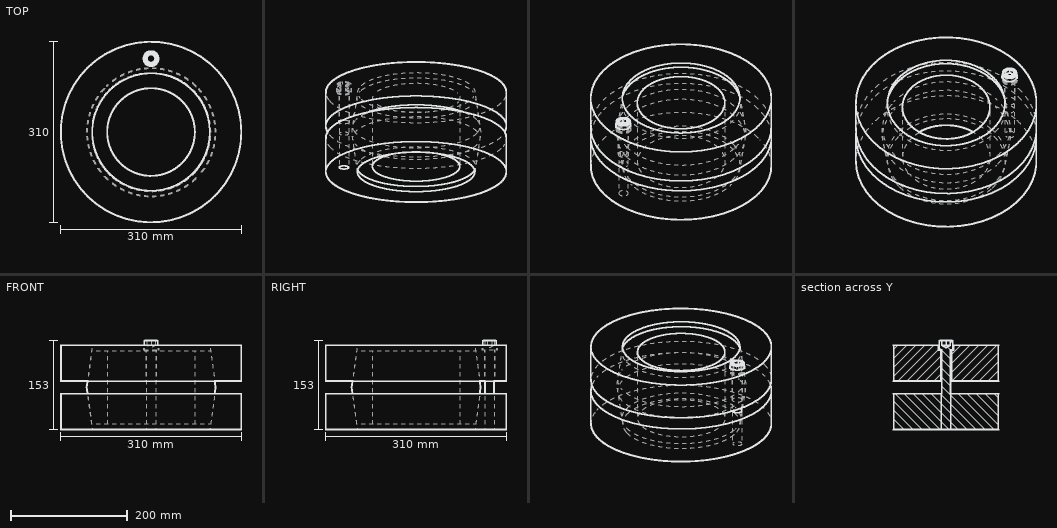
import cadquery as cq
import math


COLLAR_DIAMETER = 310.0
COLLAR_THICKNESS = 62.0
COLLAR_GAP = 21.0
COLLAR_MOUTH_DIAMETER = 201.5

RING_BORE_DIAMETER = 150.0
RING_MIDDLE_DIAMETER = 221.5
RING_RECESS = 10.0

SCREW_OFFSET_Y = 126.0
SHANK_DIAMETER = 16.0
HEAD_DIAMETER = 24.0
HEAD_HEIGHT = SHANK_DIAMETER
HEAD_PROTRUSION = 8.0
HEAD_CHAMFER_HEIGHT = 1.0
HEAD_CHAMFER_WIDTH = 2.0
SOCKET_FLAT_WIDTH = 14.0
SOCKET_DEPTH = 8.0
SOCKET_TIP_ANGLE = 120.0
CLEARANCE_DIAMETER = 18.0
COUNTERBORE_DIAMETER = 26.0

TOP = 2 * COLLAR_THICKNESS + COLLAR_GAP
MIDDLE = TOP / 2
UPPER_COLLAR_BASE = COLLAR_THICKNESS + COLLAR_GAP
HEAD_TOP = TOP + HEAD_PROTRUSION
HEAD_BASE = HEAD_TOP - HEAD_HEIGHT
MIDDLE_RADIUS = RING_MIDDLE_DIAMETER / 2
TAPER_SLOPE = (MIDDLE_RADIUS - COLLAR_MOUTH_DIAMETER / 2) / MIDDLE


def cylinder(diameter, base, top, y=0.0):
    """Vertical cylinder on the line x = 0 at the given y."""
    return cq.Workplane("XY", origin=(0, y, base)).circle(diameter / 2).extrude(top - base)


def double_cone(base, top):
    """Solid with both tapers, widest at the middle level."""
    base_radius = MIDDLE_RADIUS - TAPER_SLOPE * (MIDDLE - base)
    top_radius = MIDDLE_RADIUS - TAPER_SLOPE * (top - MIDDLE)
    profile = [(0, base), (base_radius, base), (MIDDLE_RADIUS, MIDDLE), (top_radius, top), (0, top)]
    return cq.Workplane("XZ").polyline(profile).close().revolve(360, (0, 0, 0), (0, 1, 0))


def make_collar(base):
    """Thrust collar with a tapered bore that fits the inner ring."""
    disc = cylinder(COLLAR_DIAMETER, base, base + COLLAR_THICKNESS)
    return disc.cut(double_cone(0, TOP))


def make_upper_collar():
    """Collar with a clearance hole and a counterbore for the screw head."""
    clearance = cylinder(CLEARANCE_DIAMETER, UPPER_COLLAR_BASE, TOP, SCREW_OFFSET_Y)
    counterbore = cylinder(COUNTERBORE_DIAMETER, HEAD_BASE, TOP, SCREW_OFFSET_Y)
    return make_collar(UPPER_COLLAR_BASE).cut(clearance).cut(counterbore)


def make_lower_collar():
    """Collar with a through hole that receives the screw shank."""
    return make_collar(0).cut(cylinder(SHANK_DIAMETER, 0, COLLAR_THICKNESS, SCREW_OFFSET_Y))


def make_inner_ring():
    """Double-tapered ring with a plain bore."""
    return double_cone(RING_RECESS, TOP - RING_RECESS).cut(cylinder(RING_BORE_DIAMETER, 0, TOP))


def make_socket():
    """Hexagonal socket, with corners along Y, ending in a conical drill point."""
    floor = HEAD_TOP - SOCKET_DEPTH
    corner_diameter = SOCKET_FLAT_WIDTH / math.cos(math.radians(30))
    hexagon = (
        cq.Workplane("XY", origin=(0, SCREW_OFFSET_Y, floor))
        .transformed(rotate=(0, 0, 90))
        .polygon(6, corner_diameter)
        .extrude(SOCKET_DEPTH)
    )
    tip_radius = SOCKET_FLAT_WIDTH / 2
    tip_depth = tip_radius / math.tan(math.radians(SOCKET_TIP_ANGLE / 2))
    tip = cq.Solid.makeCone(
        tip_radius, 0, tip_depth, pnt=cq.Vector(0, SCREW_OFFSET_Y, floor), dir=cq.Vector(0, 0, -1)
    )
    return hexagon.union(cq.Workplane(tip))


def make_screw():
    """Socket head cap screw reaching through both collars."""
    head = cylinder(HEAD_DIAMETER, HEAD_BASE, HEAD_TOP, SCREW_OFFSET_Y)
    head = head.faces(">Z").edges().chamfer(HEAD_CHAMFER_HEIGHT, HEAD_CHAMFER_WIDTH)
    shank = cylinder(SHANK_DIAMETER, 0, HEAD_BASE, SCREW_OFFSET_Y)
    return head.union(shank).cut(make_socket())


upper_collar = make_upper_collar()
lower_collar = make_lower_collar()
inner_ring = make_inner_ring()
screw = make_screw()

result = cq.Compound.makeCompound([upper_collar.val(), lower_collar.val(), inner_ring.val(), screw.val()])